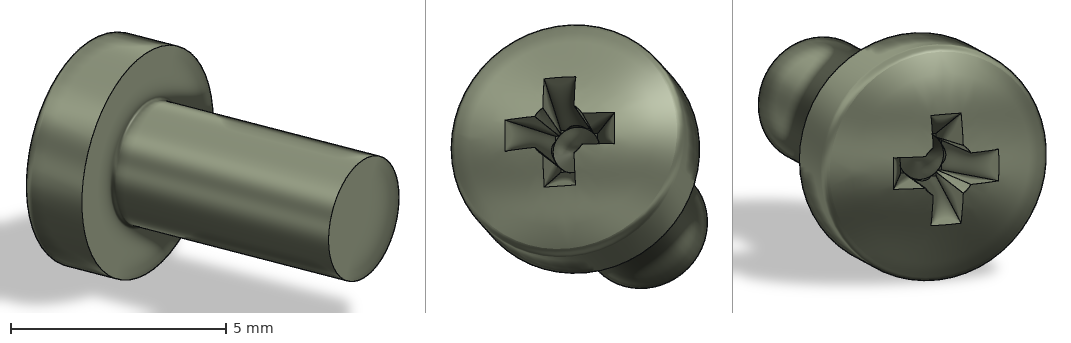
import cadquery as cq
import math


shank_diameter = 3.0
shank_length = 6.0
neck_fillet = 0.1

head_diameter = 5.6
head_height = 2.4
dome_radius = 5.0
head_edge_fillet = 0.28

recess_depth = 1.8
wing_width = 0.75
wing_tip_radius = 1.315
wing_slope = 26.5
core_mouth_radius = 0.68
core_floor_radius = 0.56
drill_point_angle = 140.0
cut_overshoot = 0.2

apex_x = -head_height
dome_center_x = apex_x + dome_radius
recess_floor_x = apex_x + recess_depth
recess_start_x = apex_x - cut_overshoot


def dome_x(radius):
    """Axial position of the dome surface at a distance from the axis."""
    return dome_center_x - math.sqrt(dome_radius**2 - radius**2)


def revolve_about_x(profile):
    """Close a half profile and turn it a full circle about the X axis."""
    return profile.close().revolve(360, (0, 0, 0), (1, 0, 0))


def make_body():
    """Domed head and shank with a rounded head edge and a filleted neck."""
    head_radius = head_diameter / 2
    shank_radius = shank_diameter / 2

    edge_center_r = head_radius - head_edge_fillet
    center_distance = dome_radius - head_edge_fillet
    edge_center_x = dome_center_x - math.sqrt(center_distance**2 - edge_center_r**2)
    dome_edge_r = edge_center_r * dome_radius / center_distance
    dome_mid_r = dome_edge_r / 2
    edge_mid_angle = (math.asin(edge_center_r / center_distance) + math.pi / 2) / 2
    edge_mid = (
        edge_center_x - head_edge_fillet * math.cos(edge_mid_angle),
        edge_center_r + head_edge_fillet * math.sin(edge_mid_angle),
    )

    neck_mid_offset = neck_fillet * (1 - math.sqrt(0.5))
    profile = (
        cq.Workplane("XY")
        .moveTo(apex_x, 0)
        .threePointArc((dome_x(dome_mid_r), dome_mid_r), (dome_x(dome_edge_r), dome_edge_r))
        .threePointArc(edge_mid, (edge_center_x, head_radius))
        .lineTo(0, head_radius)
        .lineTo(0, shank_radius + neck_fillet)
        .threePointArc(
            (neck_mid_offset, shank_radius + neck_mid_offset),
            (neck_fillet, shank_radius),
        )
        .lineTo(shank_length, shank_radius)
        .lineTo(shank_length, 0)
    )
    return revolve_about_x(profile)


def make_wing_pair():
    """Two opposite wings: a tapered slab whose sloping ends are the wing floors."""
    taper = math.tan(math.radians(wing_slope))
    tip_x = dome_x(wing_tip_radius)
    start_half_span = wing_tip_radius + (tip_x - recess_start_x) * taper
    floor_half_span = wing_tip_radius - (recess_floor_x - tip_x) * taper
    return (
        cq.Workplane("XY")
        .moveTo(recess_start_x, -start_half_span)
        .lineTo(recess_floor_x, -floor_half_span)
        .lineTo(recess_floor_x, floor_half_span)
        .lineTo(recess_start_x, start_half_span)
        .close()
        .extrude(wing_width / 2, both=True)
    )


def make_core():
    """Slightly tapered core of the recess, ending in a drill point."""
    mouth_x = dome_x(core_mouth_radius)
    taper = (core_mouth_radius - core_floor_radius) / (recess_floor_x - mouth_x)
    start_radius = core_mouth_radius + (mouth_x - recess_start_x) * taper
    point_depth = core_floor_radius / math.tan(math.radians(drill_point_angle / 2))
    profile = (
        cq.Workplane("XY")
        .moveTo(recess_start_x, 0)
        .lineTo(recess_start_x, start_radius)
        .lineTo(recess_floor_x, core_floor_radius)
        .lineTo(recess_floor_x + point_depth, 0)
    )
    return revolve_about_x(profile)


def make_recess():
    """Two crossing wing pairs joined to the central core."""
    wing_pair = make_wing_pair()
    crossing_pair = wing_pair.rotate((0, 0, 0), (1, 0, 0), 90)
    return make_core().union(wing_pair).union(crossing_pair)


result = make_body().cut(make_recess())